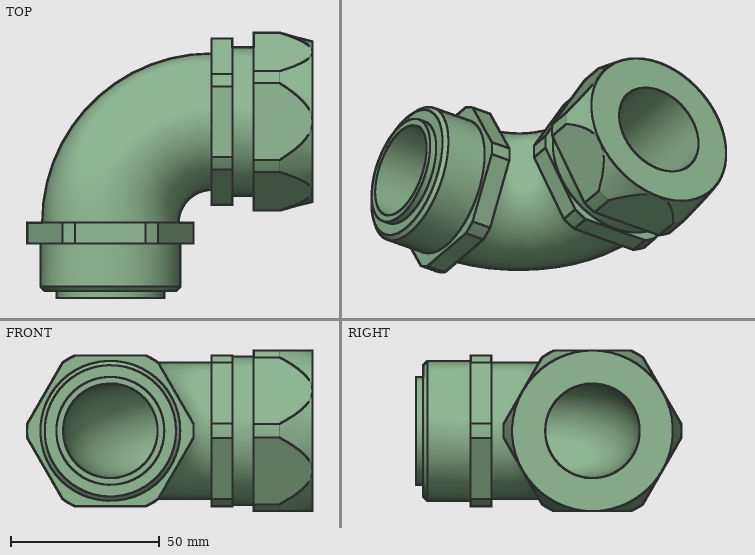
import cadquery as cq
import math

bend_radius = 34.0
tube_diameter = 46.0
bore_diameter = 31.8

collar_flats = 50.8
collar_corners = 56.1
collar_length = 7.0

thread_diameter = 47.0
thread_length = 15.9
thread_chamfer = 1.4
nose_diameter = 36.3
nose_length = 2.4

neck_diameter = 50.0
neck_length = 7.2
nut_flats = 54.0
nut_corners = 59.9
nut_length = 19.8
nut_straight_length = 8.7

inlet_plane = cq.Plane(origin=(0, -bend_radius, 0), xDir=(1, 0, 0), normal=(0, -1, 0))
outlet_plane = cq.Plane(origin=(bend_radius, 0, 0), xDir=(0, 1, 0), normal=(1, 0, 0))


def cylinder(plane, start, length, diameter):
    return cq.Workplane(plane).workplane(offset=start).circle(diameter / 2).extrude(length)


def rounded_hexagon(plane, start, length, flats, corners):
    """Hexagonal prism whose corners are turned down to a cylinder."""
    sharp_corners = flats / math.cos(math.pi / 6)
    prism = cq.Workplane(plane).workplane(offset=start).polygon(6, sharp_corners).extrude(length)
    return prism.intersect(cylinder(plane, start, length, corners))


def bend(diameter):
    """Solid quarter bend from the inlet plane to the outlet plane."""
    return (
        cq.Workplane(inlet_plane)
        .circle(diameter / 2)
        .revolve(90, (bend_radius, 0), (bend_radius, -1))
    )


def inlet_end():
    collar = rounded_hexagon(inlet_plane, 0, collar_length, collar_flats, collar_corners)
    thread = cylinder(inlet_plane, collar_length, thread_length, thread_diameter)
    thread = thread.faces("<Y").chamfer(thread_chamfer)
    nose = cylinder(inlet_plane, collar_length + thread_length, nose_length, nose_diameter)
    return collar.union(thread).union(nose)


def clamping_nut(start):
    """Hexagonal nut whose conical end tapers down to the across-flats circle."""
    hexagon = rounded_hexagon(outlet_plane, start, nut_length, nut_flats, nut_corners)
    straight = cylinder(outlet_plane, start, nut_straight_length, nut_corners)
    cone = (
        cq.Workplane(outlet_plane)
        .workplane(offset=start + nut_straight_length)
        .circle(nut_corners / 2)
        .workplane(offset=nut_length - nut_straight_length)
        .circle(nut_flats / 2)
        .loft()
    )
    return hexagon.intersect(straight.union(cone))


def outlet_end():
    collar = rounded_hexagon(outlet_plane, 0, collar_length, collar_flats, collar_corners)
    neck = cylinder(outlet_plane, collar_length, neck_length, neck_diameter)
    return collar.union(neck).union(clamping_nut(collar_length + neck_length))


def bore():
    inlet_length = collar_length + thread_length + nose_length
    outlet_length = collar_length + neck_length + nut_length
    inlet_bore = cylinder(inlet_plane, 0, inlet_length, bore_diameter)
    outlet_bore = cylinder(outlet_plane, 0, outlet_length, bore_diameter)
    return bend(bore_diameter).union(inlet_bore).union(outlet_bore)


result = bend(tube_diameter).union(inlet_end()).union(outlet_end()).cut(bore())